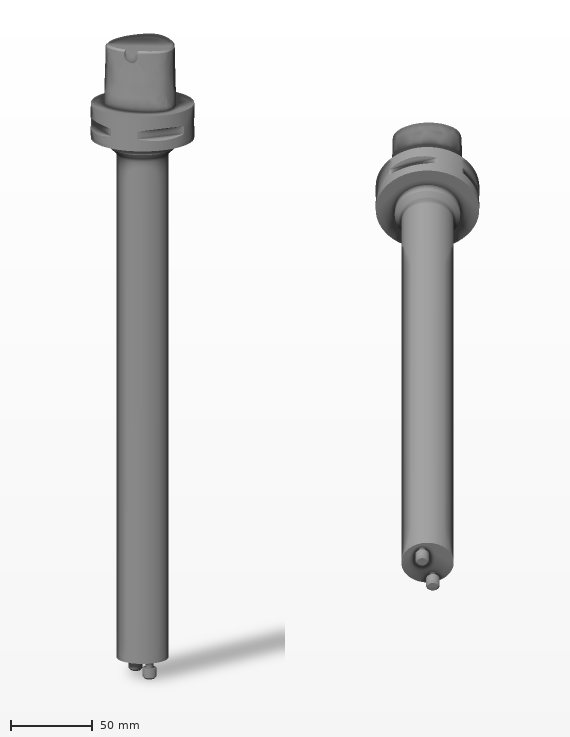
import cadquery as cq
import math

total_height = 400.0
shank_height = 38.0
flange_height = 22.0
collar_height = 5.5
neck_height = 5.0
flange_top = total_height - shank_height
flange_bottom = flange_top - flange_height
collar_bottom = flange_bottom - collar_height
neck_bottom = collar_bottom - neck_height
bar_bottom = 11.0

flange_radius = 63.0 / 2
collar_radius = 40.0 / 2
bar_radius = 32.0 / 2
neck_step = collar_radius - bar_radius
blend_radius = (neck_height - neck_step) / (2 * math.sin(math.pi / 4) - 1)
neck_chamfer = neck_height - blend_radius * math.sin(math.pi / 4)

shank_base_radius = 22.0
lobe_height = 1.5
shank_taper = 1 / 40
shank_chamfer = 1.0
outline_points = 48

notch_diameter = 8.5
notch_depth = 8.0
notch_floor = 18.0

groove_floor = 27.5
groove_floor_width = 5.0
groove_mouth_width = 7.5
groove_middle = 350.0

pin_pitch = 15.0
pin_offset = pin_pitch / 2
pin_radius = 5.0 / 2
head_radius = 8.5 / 2
head_height = 7.0
head_chamfer = 1.0


def turned_body():
    """Flange, collar, blended neck and bar in one revolved profile."""
    return (
        cq.Workplane("XZ")
        .moveTo(0, bar_bottom)
        .lineTo(bar_radius, bar_bottom)
        .lineTo(bar_radius, neck_bottom)
        .radiusArc((collar_radius - neck_chamfer, collar_bottom - neck_chamfer), blend_radius)
        .lineTo(collar_radius, collar_bottom)
        .lineTo(collar_radius, flange_bottom)
        .lineTo(flange_radius, flange_bottom)
        .lineTo(flange_radius, flange_top)
        .lineTo(0, flange_top)
        .close()
        .revolve(360, (0, 0, 0), (0, 1, 0))
    )


def lobed_outline(mean_radius, height):
    """Closed curve of constant width with three lobes, one of them toward +Y."""
    points = []
    for index in range(outline_points):
        angle = 2 * math.pi * index / outline_points
        reach = mean_radius - lobe_height * math.sin(3 * angle)
        slope = -3 * lobe_height * math.cos(3 * angle)
        x = reach * math.cos(angle) - slope * math.sin(angle)
        y = reach * math.sin(angle) + slope * math.cos(angle)
        points.append((x, y))
    curve = cq.Workplane("XY").workplane(offset=height).spline(points, periodic=True)
    return curve.wire().val()


def lobed_frustum(lower_radius, lower_height, upper_radius, upper_height):
    wires = [lobed_outline(lower_radius, lower_height), lobed_outline(upper_radius, upper_height)]
    return cq.Workplane(obj=cq.Solid.makeLoft(wires, True))


def shank():
    """Tapered three-lobed shank with a chamfered top and a notch on -Y."""
    chamfer_start = total_height - shank_chamfer
    chamfer_radius = shank_base_radius - shank_taper * (chamfer_start - flange_top)
    taper = lobed_frustum(shank_base_radius, flange_top, chamfer_radius, chamfer_start)
    tip = lobed_frustum(chamfer_radius, chamfer_start, chamfer_radius - shank_chamfer, total_height)

    notch_radius = notch_diameter / 2
    arc_height = total_height - notch_depth + notch_radius
    notch = (
        cq.Workplane("XZ", origin=(0, -notch_floor, 0))
        .moveTo(-notch_radius, total_height)
        .lineTo(-notch_radius, arc_height)
        .threePointArc((0, total_height - notch_depth), (notch_radius, arc_height))
        .lineTo(notch_radius, total_height)
        .close()
        .extrude(shank_base_radius)
    )
    return taper.union(tip).cut(notch)


def gripper_groove(direction):
    """Straight trapezoidal groove across the flange rim, facing the given angle."""
    floor_half = groove_floor_width / 2
    mouth_half = groove_mouth_width / 2
    return (
        cq.Workplane("XZ")
        .moveTo(groove_floor, groove_middle - floor_half)
        .lineTo(flange_radius, groove_middle - mouth_half)
        .lineTo(flange_radius, groove_middle + mouth_half)
        .lineTo(groove_floor, groove_middle + floor_half)
        .close()
        .extrude(flange_radius, both=True)
        .rotate((0, 0, 0), (0, 0, 1), direction)
    )


def headed_pin(x, y):
    head = cq.Workplane("XY").circle(head_radius).extrude(head_height)
    head = head.faces("<Z").chamfer(head_chamfer)
    stem = cq.Workplane("XY").circle(pin_radius).extrude(bar_bottom)
    return head.union(stem).translate((x, y, 0))


result = turned_body().union(shank())
for direction in (45, 135, 225, 315):
    result = result.cut(gripper_groove(direction))
for side in (-1, 1):
    result = result.union(headed_pin(side * pin_offset, -side * pin_offset))